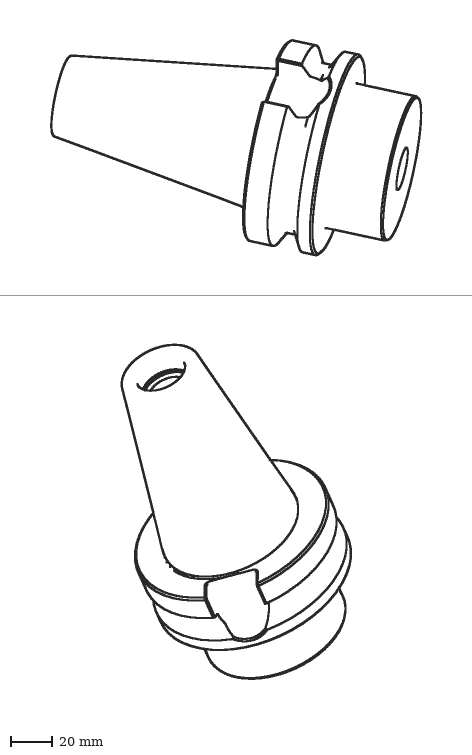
import cadquery as cq
import math


total_length = 171.8
gauge_x = 101.9
flange_front_x = 104.8
flange_back_x = 139.8

gauge_radius = 70.0 / 2
flange_radius = 100.0 / 2
nose_radius = 72.0 / 2
taper_ratio = 7 / 24
small_end_radius = gauge_radius - gauge_x * taper_ratio / 2

small_end_fillet = 1.5
root_fillet = 0.9
flange_chamfer = 1.0
nose_fillet = 1.5
nose_chamfer_length = 1.0
nose_chamfer_depth = 0.5

groove_front_x = 117.5
groove_back_x = 132.5
groove_floor_radius = 84.7 / 2
groove_wall_angle = 60
groove_floor_fillet = 1.0

slot_width = 25.8
slot_floor_z = gauge_radius + root_fillet
slot_end_x = 134.9
slot_floor_fillet = 2.0
slot_mouth_chamfer = 0.9

bore_radius = 10.5
counterbore_radius = 12.5
counterbore_depth = 11.9
counterbore_cone_angle = 60
mouth_fillet = 1.2
relief_width = 1.9
relief_flank_length = 0.7
relief_radius = 13.0

clearance = 1.7


def revolve_about_axis(profile):
    return profile.revolve(360, (0, 0, 0), (1, 0, 0))


def make_body():
    """Taper, flange and nose as one solid of revolution."""
    profile = (
        cq.Workplane("XY")
        .lineTo(0, small_end_radius)
        .lineTo(gauge_x, gauge_radius)
        .lineTo(flange_front_x - root_fillet, gauge_radius)
        .radiusArc((flange_front_x, gauge_radius + root_fillet), -root_fillet)
        .lineTo(flange_front_x, flange_radius - flange_chamfer)
        .lineTo(flange_front_x + flange_chamfer, flange_radius)
        .lineTo(flange_back_x - flange_chamfer, flange_radius)
        .lineTo(flange_back_x, flange_radius - flange_chamfer)
        .lineTo(flange_back_x, nose_radius + nose_fillet)
        .radiusArc((flange_back_x + nose_fillet, nose_radius), -nose_fillet)
        .lineTo(total_length - nose_chamfer_length, nose_radius)
        .lineTo(total_length, nose_radius - nose_chamfer_depth)
        .lineTo(total_length, 0)
        .close()
    )
    return revolve_about_axis(profile).faces("<X").edges().fillet(small_end_fillet)


def make_slot():
    """Round-ended cutter for the upper drive slot, open at the flange front."""
    half_width = slot_width / 2
    arc_center_x = slot_end_x - half_width
    slot = (
        cq.Workplane("XY", origin=(0, 0, slot_floor_z))
        .moveTo(flange_front_x, -half_width)
        .lineTo(arc_center_x, -half_width)
        .threePointArc((slot_end_x, 0), (arc_center_x, half_width))
        .lineTo(flange_front_x, half_width)
        .close()
        .extrude(flange_radius)
    )
    return slot.faces("<Z").edges("not <X").fillet(slot_floor_fillet)


def slot_section(plane, half_width, corner_radius):
    """Cross-section of the slot: level floor, rounded corners and upright walls."""
    corner_y = half_width - corner_radius
    corner_z = slot_floor_z + corner_radius
    top_z = flange_radius + clearance
    return (
        plane.moveTo(-corner_y, slot_floor_z)
        .lineTo(corner_y, slot_floor_z)
        .radiusArc((half_width, corner_z), -corner_radius)
        .lineTo(half_width, top_z)
        .lineTo(-half_width, top_z)
        .lineTo(-half_width, corner_z)
        .radiusArc((-corner_y, slot_floor_z), -corner_radius)
        .close()
    )


def make_slot_flare():
    """Cutter that bevels the walls of the upper slot where it opens at the flange front."""
    half_width = slot_width / 2
    front_plane = cq.Workplane("YZ", origin=(flange_front_x, 0, 0))
    wide_half = half_width + slot_mouth_chamfer
    wide = slot_section(front_plane, wide_half, slot_floor_fillet + slot_mouth_chamfer)
    narrow = slot_section(wide.workplane(offset=slot_mouth_chamfer), half_width, slot_floor_fillet)
    return narrow.loft(ruled=True)


def is_slot_rim_edge(edge):
    """True for the edges where a slot wall meets the outside of the flange."""
    center = edge.Center()
    tolerance = 0.02
    rim_band = 3.5
    within_width = abs(center.y) < slot_width / 2 + tolerance
    within_length = flange_front_x + tolerance < center.x < slot_end_x
    on_rim = abs(center.z) > flange_radius - rim_band
    return within_width and within_length and on_rim


def cut_drive_slots(body):
    """Cut both slots and bevel the edges where their walls meet the flange."""
    slot = make_slot()
    slotted = body.cut(slot).cut(slot.mirror("XY"))
    rim_edges = [edge for edge in slotted.edges().vals() if is_slot_rim_edge(edge)]
    beveled = slotted.newObject(rim_edges).chamfer(slot_mouth_chamfer)
    flare = make_slot_flare()
    return beveled.cut(flare).cut(flare.mirror("XY"))


def make_groove():
    """Ring that cuts the V-groove, with a flat floor and rounded floor corners."""
    wall_height = flange_radius - groove_floor_radius
    wall_run = wall_height / math.tan(math.radians(groove_wall_angle))
    outside_radius = flange_radius + clearance
    profile = (
        cq.Workplane("XY")
        .moveTo(groove_front_x + wall_run, groove_floor_radius)
        .lineTo(groove_front_x, flange_radius)
        .lineTo(groove_front_x, outside_radius)
        .lineTo(groove_back_x, outside_radius)
        .lineTo(groove_back_x, flange_radius)
        .lineTo(groove_back_x - wall_run, groove_floor_radius)
        .close()
    )
    floor_edges = revolve_about_axis(profile).edges("%CIRCLE").edges(cq.selectors.RadiusNthSelector(0))
    return floor_edges.fillet(groove_floor_fillet)


def make_bore():
    """Through bore with a rounded mouth, counterbore, relief groove and conical shoulder."""
    cone_length = (counterbore_radius - bore_radius) / math.tan(math.radians(counterbore_cone_angle))
    relief_start_x = counterbore_depth - relief_width
    profile = (
        cq.Workplane("XY")
        .lineTo(0, counterbore_radius + mouth_fillet)
        .radiusArc((mouth_fillet, counterbore_radius), -mouth_fillet)
        .lineTo(relief_start_x, counterbore_radius)
        .lineTo(relief_start_x + relief_flank_length, relief_radius)
        .lineTo(counterbore_depth, relief_radius)
        .lineTo(counterbore_depth, counterbore_radius)
        .lineTo(counterbore_depth + cone_length, bore_radius)
        .lineTo(total_length, bore_radius)
        .lineTo(total_length, 0)
        .close()
    )
    return revolve_about_axis(profile)


result = cut_drive_slots(make_body()).cut(make_groove()).cut(make_bore())